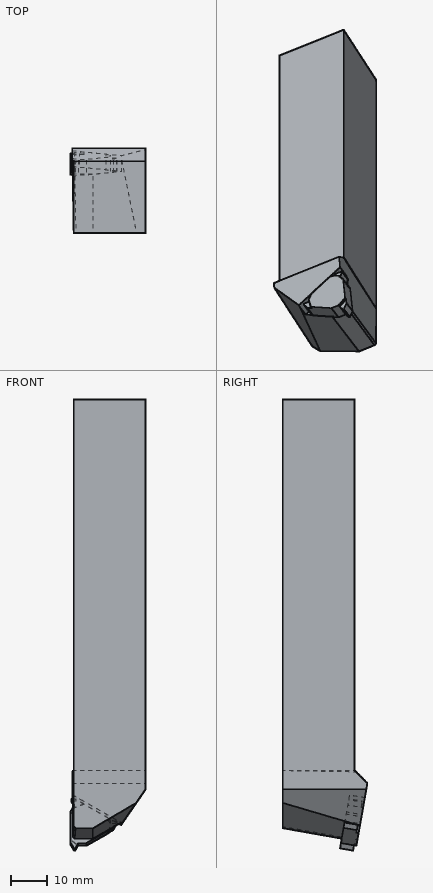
import cadquery as cq
import math

shank_size = 20.0
shank_top_z = 125.0
head_top_z = 22.0
overall_length = 125.33

head_front_y = 23.59
ridge_z = head_top_z - (head_front_y - shank_size)
tilt = 10.0
side_flare = 1.0
side_relief = 0.3
nose_edge_chamfer = 0.5
heel_z = 16.7
heel_angle = 55.5

inradius = 4.7625
insert_thickness = 4.4
insert_overhang = 0.87
tip_x = 0.28
tip_flat = 0.3
tip_below_centre = 7.2
flank_angle = 60.0
shoulder_height = 1.5
chip_recess = 0.65
chip_shift = 1.5
corner_count = 3

nose_height = 2.75
nose_corner_x = 5.4
nose_angle = math.radians(30.0)
oversize = 40.0

tilt_sin = math.sin(math.radians(tilt))
tilt_cos = math.cos(math.radians(tilt))
tip_z = shank_top_z - overall_length - chip_recess * tilt_sin


def front_y(z):
    """Y of the tilted front face at height z."""
    return head_front_y - (ridge_z - z) * tilt_sin / tilt_cos


insert_plane = cq.Plane(
    origin=(0, front_y(tip_z), tip_z),
    xDir=(1, 0, 0),
    normal=(0, -tilt_cos, tilt_sin),
)
centre_x = inradius - insert_overhang
centre_y = tip_below_centre


def around_centre(points):
    """Repeats points, given relative to the insert's centre, at its three corners."""
    turned = []
    for i in range(corner_count):
        angle = 2 * math.pi * i / corner_count
        for x, y in points:
            turned.append((
                centre_x + x * math.cos(angle) - y * math.sin(angle),
                centre_y + x * math.sin(angle) + y * math.cos(angle),
            ))
    return turned


flank_slope = math.tan(math.radians(flank_angle))
tip = (tip_x - centre_x, -tip_below_centre)
tip_left = (tip[0] - tip_flat / 2, tip[1])
tip_right = (tip[0] + tip_flat / 2, tip[1])
side_end = (-inradius, tip[1] + (tip_left[0] + inradius) * flank_slope)
shoulder_y = tip[1] + shoulder_height
shoulder_start = (tip_right[0] + shoulder_height / flank_slope, shoulder_y)
shoulder_end = (
    inradius / math.sin(nose_angle) + shoulder_y / math.tan(nose_angle),
    shoulder_y,
)


def make_insert():
    outline = around_centre([side_end, tip_left, tip_right, shoulder_start, shoulder_end])
    body = cq.Workplane(insert_plane).polyline(outline).close().extrude(insert_thickness)
    chip_start = (-inradius, side_end[1] + chip_shift)
    chip_face = [chip_start, side_end, tip_left, tip_right, shoulder_start]
    points = around_centre(chip_face)
    for i in range(corner_count):
        corner = points[i * len(chip_face):(i + 1) * len(chip_face)]
        body = body.cut(cq.Workplane(insert_plane).polyline(corner).close().extrude(chip_recess))
    return body


def make_head():
    side_profile = [
        (0, head_top_z),
        (shank_size, head_top_z),
        (head_front_y, ridge_z),
        (front_y(-oversize), -oversize),
        (0, -oversize),
    ]
    head = (
        cq.Workplane("YZ")
        .polyline(side_profile)
        .close()
        .extrude(shank_size + insert_overhang)
        .translate((-insert_overhang, 0, 0))
    )

    nose = (
        cq.Workplane(insert_plane)
        .moveTo(-oversize, nose_height)
        .lineTo(nose_corner_x, nose_height)
        .lineTo(nose_corner_x + oversize, nose_height + oversize * math.tan(nose_angle))
        .lineTo(-oversize, nose_height + oversize * math.tan(nose_angle))
        .close()
        .extrude(2 * oversize, both=True)
    )
    head = head.intersect(nose)

    flare_cut = (
        cq.Workplane("XY")
        .box(oversize, 4 * oversize, 4 * oversize)
        .translate((-oversize / 2, 0, 0))
        .rotate((0, 0, 0), (0, 0, 1), side_flare)
        .rotate((0, 0, head_top_z), (0, 1, head_top_z), -side_relief)
    )
    bevel_cut = (
        cq.Workplane("XZ")
        .moveTo(0, head_top_z)
        .lineTo(-oversize, head_top_z)
        .lineTo(-oversize, head_top_z - oversize)
        .close()
        .extrude(-oversize)
    )
    head = head.cut(flare_cut).cut(bevel_cut)

    nose_edge = cq.selectors.NearestToPointSelector((0, shank_size / 2, nose_height))
    return head.edges(nose_edge).chamfer(nose_edge_chamfer)


def make_holder():
    shank = (
        cq.Workplane("XY", origin=(0, 0, head_top_z))
        .rect(shank_size, shank_size)
        .extrude(shank_top_z - head_top_z)
        .translate((shank_size / 2, shank_size / 2, 0))
    )
    heel_bottom_z = heel_z - shank_size * math.tan(math.radians(heel_angle))
    heel_cut = (
        cq.Workplane("XZ")
        .moveTo(shank_size, heel_z)
        .lineTo(shank_size, heel_bottom_z)
        .lineTo(0, heel_bottom_z)
        .close()
        .extrude(-oversize)
    )
    seat_corner = (-inradius, -inradius * math.sqrt(3))
    seat = (
        cq.Workplane(insert_plane)
        .polyline(around_centre([seat_corner]))
        .close()
        .extrude(insert_thickness)
    )
    return shank.union(make_head()).cut(heel_cut).cut(seat)


holder = make_holder()
insert = make_insert()
result = cq.Compound.makeCompound([holder.solids().val(), insert.solids().val()])